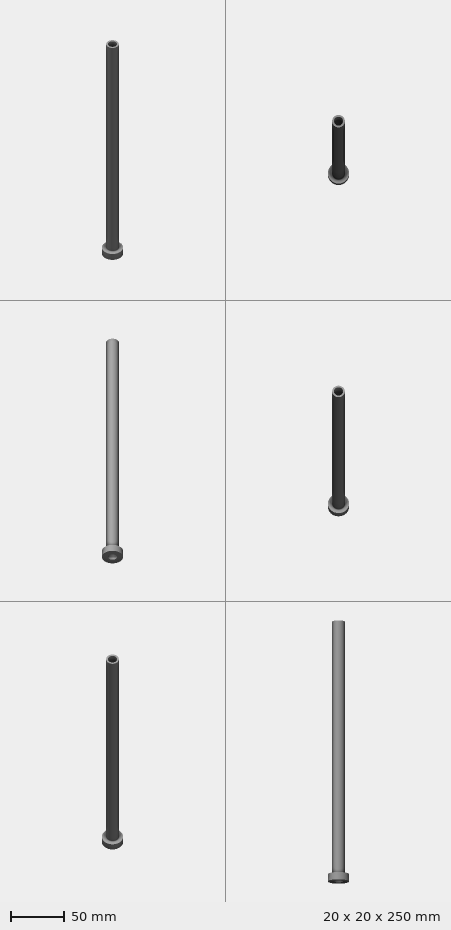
import cadquery as cq

total_length = 250.0
head_diameter = 20.0
head_height = 7.0
tube_diameter = 12.0
bore_diameter = 8.5
neck_fillet_radius = 0.8

head = cq.Workplane("XY").circle(head_diameter / 2).extrude(head_height)
tube = cq.Workplane("XY").circle(tube_diameter / 2).extrude(total_length)
body = head.union(tube)

head_top = cq.selectors.NearestToPointSelector((0, 0, head_height))
neck_edge = cq.selectors.RadiusNthSelector(0)
body = body.faces(head_top).edges(neck_edge).fillet(neck_fillet_radius)

bore = cq.Workplane("XY").circle(bore_diameter / 2).extrude(total_length)
result = body.cut(bore)